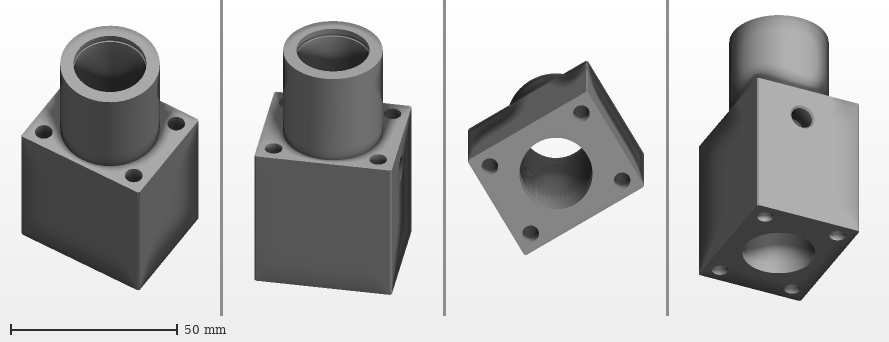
import cadquery as cq

BLOCK_LENGTH = 42.0
BLOCK_WIDTH = 34.0
BLOCK_HEIGHT = 46.0
EDGE_CHAMFER = 0.5

TUBE_DIAMETER = 30.0
TUBE_HEIGHT = 30.0
TOTAL_HEIGHT = BLOCK_HEIGHT + TUBE_HEIGHT

BORE_DIAMETER = 22.0
GROOVE_DIAMETER = 23.0
GROOVE_WIDTH = 1.1
GROOVE_SETBACK = 1.7

MOUNT_SPACING_X = 32.0
MOUNT_SPACING_Y = 24.0
MOUNT_CLEARANCE_DIAMETER = 5.3
MOUNT_TAPPING_DIAMETER = 5.0
MOUNT_TAPPING_LENGTH = 12.0

PORT_Y = 2.0
PORT_DROP = 10.0
PORT_Z = BLOCK_HEIGHT - PORT_DROP
PORT_DIAMETER = 6.8
PORT_DEPTH = 7.0
PORT_CHAMFER = 0.6
PORT_CONE_LENGTH = 0.75
PORT_PASSAGE_DIAMETER = 4.3


def make_block():
    block = cq.Workplane("XY").box(BLOCK_LENGTH, BLOCK_WIDTH, BLOCK_HEIGHT, centered=(True, True, False))
    return block.edges("|Z").chamfer(EDGE_CHAMFER)


def make_tube():
    return cq.Workplane("XY").workplane(offset=BLOCK_HEIGHT).circle(TUBE_DIAMETER / 2).extrude(TUBE_HEIGHT)


def make_bore():
    groove_bottom = TOTAL_HEIGHT - GROOVE_SETBACK - GROOVE_WIDTH
    bore = cq.Workplane("XY").circle(BORE_DIAMETER / 2).extrude(TOTAL_HEIGHT)
    groove = cq.Workplane("XY").workplane(offset=groove_bottom).circle(GROOVE_DIAMETER / 2).extrude(GROOVE_WIDTH)
    return bore.union(groove)


def make_mounting_cylinders(diameter, bottom, top):
    base = cq.Workplane("XY").workplane(offset=bottom)
    centres = base.rect(MOUNT_SPACING_X, MOUNT_SPACING_Y, forConstruction=True).vertices()
    return centres.circle(diameter / 2).extrude(top - bottom)


def make_mounting_holes():
    tapping = make_mounting_cylinders(MOUNT_TAPPING_DIAMETER, 0, MOUNT_TAPPING_LENGTH)
    clearance = make_mounting_cylinders(MOUNT_CLEARANCE_DIAMETER, MOUNT_TAPPING_LENGTH, BLOCK_HEIGHT)
    return tapping.union(clearance)


def make_port():
    """Chamfered port with a conical floor and a narrow passage, revolved about its own X-parallel axis."""
    face_x = -BLOCK_LENGTH / 2
    port_radius = PORT_DIAMETER / 2
    passage_radius = PORT_PASSAGE_DIAMETER / 2
    cone_start_x = face_x + PORT_DEPTH
    profile = (
        cq.Workplane("XY", origin=(0, PORT_Y, PORT_Z))
        .moveTo(face_x, 0)
        .lineTo(face_x, port_radius + PORT_CHAMFER)
        .lineTo(face_x + PORT_CHAMFER, port_radius)
        .lineTo(cone_start_x, port_radius)
        .lineTo(cone_start_x + PORT_CONE_LENGTH, passage_radius)
        .lineTo(0, passage_radius)
        .lineTo(0, 0)
        .close()
    )
    return profile.revolve(360, (0, 0, 0), (1, 0, 0))


result = make_block().union(make_tube())
for cutter in (make_bore(), make_mounting_holes(), make_port()):
    result = result.cut(cutter)